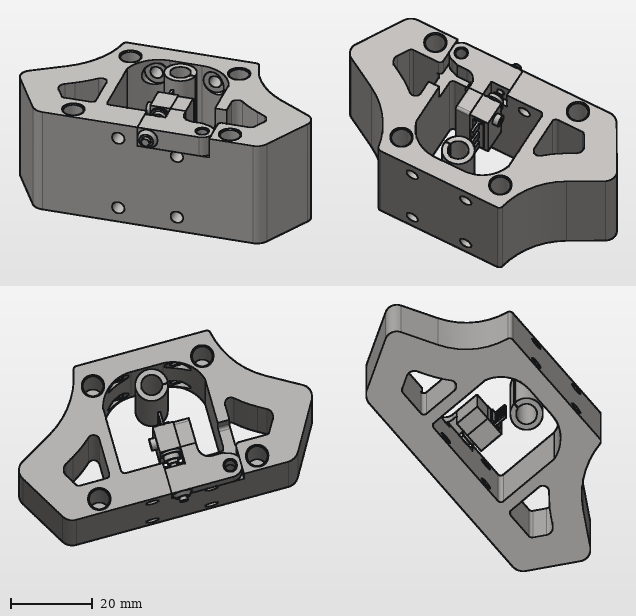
import cadquery as cq
import math

HALF_WIDTH = 37.15
DEPTH = 37.15
HEIGHT = 28.0
SLOPE = math.radians(30)
CORNER_RADIUS = 3.0
CORNER_Y = 15.0
FRONT_CORNER_RADIUS = 3.5
BACK_CORNER_RADIUS = 1.0
FLARE_RADIUS = 20.8
FLARE_END_X = 27.4
FRONT_WALL = 8.0
SHOULDER_WALL = 8.0
CAVITY_HALF_WIDTH = 13.0
CAVITY_BACK_Y = 32.1
CAVITY_BACK_RADIUS = 9.3
CAVITY_BACK_OVERSIZE = 0.4
INNER_RADIUS = 1.0
WINDOW_INNER_X = 16.0
WINDOW_BACK_RADIUS = 1.5
WINDOW_TIP_RADIUS = 2.0

TAP_DIAMETER = 5.0
TAP_DEPTH = 14.85
TAP_CHAMFER = 0.3
TAP_BACK = (13.9, 31.2)
TAP_FRONT = (20.05, 3.5)

CROSS_HOLE_DIAMETER = 3.2
CROSS_HOLE_X = 7.5
CROSS_HOLE_LOW_Z = 4.0
CROSS_HOLE_HIGH_Z = HEIGHT - CROSS_HOLE_LOW_Z
OFFSET_HOLE_Z = 21.5
COUNTERBORE_DIAMETER = 6.0

LEVER_BOTTOM = 22.65
LEVER_BACK_Y = 6.5
RECESS_RIGHT_X = 15.75
RECESS_BACK_Y = 14.05
RECESS_BACK_RADIUS = 1.0
PIVOT_X = 13.1
PIVOT_Y = 3.0
PIVOT_DIAMETER = 2.75
PIVOT_CHAMFER = 0.3
CHAMFER_CONE_ANGLE = 90
PIVOT_HOLE_DEPTH = 7.4
LEVER_SHOULDER_X = 12.2
ARM_LEFT_X = 2.6
LEVER_LEFT_X = -ARM_LEFT_X
ARM_RIGHT_X = 6.55
ARM_FILLET = 3.0

BUTTON_Z = 25.2
SWITCH_FRONT_Y = 10.7
SWITCH_BACK_Y = 17.3
SWITCH_HALF_WIDTH = ARM_LEFT_X
SWITCH_BOTTOM = 14.85
NOSE_STEPS = ((5.1, 10.0), (4.0, 8.6), (2.7, 7.7), (1.7, LEVER_BACK_Y))
TERMINAL_BASE_WIDTH = 3.0
TERMINAL_BASE_THICKNESS = 0.45
TERMINAL_WIDTH = 0.7
TERMINAL_HEIGHT = 2.4
TERMINAL_END_Y = 20.8
TERMINAL_PITCH = 4.4
TERMINAL_COUNT = 3
BLOCK_ROUNDING = 0.75
PEG_DIAMETER = 3.0
PEG_LENGTH = 1.55
PEG_Y = 13.75
PEG_SOCKET_DIAMETER = 1.4
PEG_SOCKET_DEPTH = 1.0

SLEEVE_BASE_DIAMETER = 5.1
SLEEVE_TIP_DIAMETER = 3.4
SLEEVE_LENGTH = 1.0
SLEEVE_BORE = 2.3
PLUNGER_DIAMETER = 2.0
PLUNGER_TIP_Y = -1.9

TUBE_Y = 27.6
TUBE_DIAMETER = 8.0
TUBE_BORE = 5.1
SLIT_Y = 27.0
SLIT_WIDTH = 0.15
LIP_RADIUS = 0.45

SHOULDER_NORMAL = (math.sin(SLOPE), math.cos(SLOPE))
END_NORMAL = (math.cos(SLOPE), -math.sin(SLOPE))


def box(x_range, y_range, z_range):
    """Box from its limits along each axis."""
    (x0, x1), (y0, y1), (z0, z1) = x_range, y_range, z_range
    return cq.Workplane("XY").box(x1 - x0, y1 - y0, z1 - z0, centered=False).translate((x0, y0, z0))


def rod_y(diameter, x, z, y_start, y_end):
    """Cylinder along +Y."""
    rod = cq.Solid.makeCylinder(diameter / 2, y_end - y_start, cq.Vector(x, y_start, z), cq.Vector(0, 1, 0))
    return cq.Workplane(rod)


def fillet_upright(body, radius, points, z):
    """Round the upright edges that pass nearest to the given (x, y) points."""
    for x, y in points:
        edge = cq.selectors.NearestToPointSelector((x, y, z))
        body = body.edges("|Z").edges(edge).fillet(radius)
    return body


def flank_points(inset, y_end=None, x_end=None):
    """Corner, flank start, flank middle and flank end of the +X side, moved inwards by `inset`.

    The concave flank ends either at height y_end or at x_end.
    """
    diagonal_x = SHOULDER_NORMAL[0] + END_NORMAL[0]
    diagonal_y = SHOULDER_NORMAL[1] + END_NORMAL[1]
    outer_x = HALF_WIDTH - CORNER_RADIUS + CORNER_RADIUS * diagonal_x
    outer_y = CORNER_Y + CORNER_RADIUS * diagonal_y
    corner = (outer_x - inset * diagonal_x, outer_y - inset * diagonal_y)
    flank_start_y = outer_y + (outer_x - FLARE_END_X) * math.tan(SLOPE)
    centre_x = FLARE_END_X + FLARE_RADIUS * SHOULDER_NORMAL[0]
    centre_y = flank_start_y + FLARE_RADIUS * SHOULDER_NORMAL[1]
    radius = FLARE_RADIUS + inset

    def on_flank(angle):
        return (centre_x - radius * math.sin(angle), centre_y - radius * math.cos(angle))

    if x_end is None:
        end_angle = math.acos((centre_y - y_end) / radius)
    else:
        end_angle = math.asin((centre_x - x_end) / radius)
    return corner, on_flank(SLOPE), on_flank((SLOPE + end_angle) / 2), on_flank(end_angle)


def below_corner(corner, y):
    """Point on the slanted end line below `corner`, at height y."""
    return (corner[0] - (corner[1] - y) * math.tan(SLOPE), y)


def mirrored(point):
    return (-point[0], point[1])


def make_solid_block():
    corner, start, middle, end = flank_points(0, y_end=DEPTH)
    foot = below_corner(corner, 0)
    block = (
        cq.Workplane("XY")
        .moveTo(*foot)
        .lineTo(*corner)
        .lineTo(*start)
        .threePointArc(middle, end)
        .lineTo(*mirrored(end))
        .threePointArc(mirrored(middle), mirrored(start))
        .lineTo(*mirrored(corner))
        .lineTo(*mirrored(foot))
        .close()
        .extrude(HEIGHT)
    )
    for radius, point in (
        (CORNER_RADIUS, corner),
        (FRONT_CORNER_RADIUS, foot),
        (BACK_CORNER_RADIUS, end),
    ):
        block = fillet_upright(block, radius, (point, mirrored(point)), HEIGHT / 2)
    return block


def make_cavity():
    depth_range = (FRONT_WALL, CAVITY_BACK_Y)
    rounded_half_width = CAVITY_HALF_WIDTH + CAVITY_BACK_OVERSIZE
    rounded = box((-rounded_half_width, rounded_half_width), depth_range, (0, HEIGHT))
    rounded = rounded.edges("|Z and >Y").fillet(CAVITY_BACK_RADIUS)
    straight = box((-CAVITY_HALF_WIDTH, CAVITY_HALF_WIDTH), depth_range, (0, HEIGHT))
    straight = straight.edges("|Z and <Y").fillet(INNER_RADIUS)
    return straight.intersect(rounded)


def make_window():
    corner, start, middle, end = flank_points(SHOULDER_WALL, x_end=WINDOW_INNER_X)
    foot = below_corner(corner, FRONT_WALL)
    inner_foot = (WINDOW_INNER_X, FRONT_WALL)
    window = (
        cq.Workplane("XY")
        .moveTo(*inner_foot)
        .lineTo(*foot)
        .lineTo(*corner)
        .lineTo(*start)
        .threePointArc(middle, end)
        .close()
        .extrude(HEIGHT)
    )
    window = fillet_upright(window, INNER_RADIUS, (inner_foot, foot), HEIGHT / 2)
    window = fillet_upright(window, WINDOW_TIP_RADIUS, (corner,), HEIGHT / 2)
    return fillet_upright(window, WINDOW_BACK_RADIUS, (end,), HEIGHT / 2)


def drill_tapped_holes(body):
    spots = [TAP_BACK, mirrored(TAP_BACK), TAP_FRONT, mirrored(TAP_FRONT)]
    for x, y in spots:
        hole = cq.Workplane("XY", origin=(x, y, HEIGHT)).circle(TAP_DIAMETER / 2).extrude(-TAP_DEPTH)
        mouth = (
            cq.Workplane("XY", origin=(x, y, HEIGHT))
            .circle(TAP_DIAMETER / 2 + TAP_CHAMFER)
            .workplane(offset=-TAP_CHAMFER)
            .circle(TAP_DIAMETER / 2)
            .loft(ruled=True)
        )
        body = body.cut(hole).cut(mouth)
    return body


def drill_cross_holes(body):
    """Holes from front to back, counterbored from inside the cavity into its back wall."""
    middle_y = DEPTH / 2
    for x in (-CROSS_HOLE_X, CROSS_HOLE_X):
        for z in (CROSS_HOLE_LOW_Z, CROSS_HOLE_HIGH_Z):
            offset_hole = x > 0 and z == CROSS_HOLE_HIGH_Z
            front_z = OFFSET_HOLE_Z if offset_hole else z
            body = body.cut(rod_y(CROSS_HOLE_DIAMETER, x, front_z, 0, middle_y))
            body = body.cut(rod_y(CROSS_HOLE_DIAMETER, x, z, middle_y, DEPTH))
            body = body.cut(rod_y(COUNTERBORE_DIAMETER, x, z, middle_y, CAVITY_BACK_Y))
    return body


def cut_lever_recess(body):
    levels = (LEVER_BOTTOM, HEIGHT)
    bay = box((LEVER_LEFT_X, RECESS_RIGHT_X), (0, FRONT_WALL), levels)
    gap_width = (CAVITY_HALF_WIDTH - INNER_RADIUS, WINDOW_INNER_X + INNER_RADIUS)
    wall_gap = box(gap_width, (FRONT_WALL, RECESS_BACK_Y), levels)
    wall_gap = wall_gap.edges("|X and >Y and <Z").fillet(RECESS_BACK_RADIUS)
    body = body.cut(bay).cut(wall_gap)
    body = fillet_upright(body, INNER_RADIUS, ((RECESS_RIGHT_X, FRONT_WALL),), (LEVER_BOTTOM + HEIGHT) / 2)
    pivot_hole = (
        cq.Workplane("XY", origin=(PIVOT_X, PIVOT_Y, LEVER_BOTTOM))
        .circle(PIVOT_DIAMETER / 2)
        .extrude(-PIVOT_HOLE_DEPTH)
    )
    return body.cut(pivot_hole)


def make_housing():
    window = make_window()
    housing = make_solid_block().cut(make_cavity()).cut(window).cut(window.mirror("YZ"))
    housing = drill_tapped_holes(housing)
    housing = drill_cross_holes(housing)
    return cut_lever_recess(housing)


def make_lever():
    end_radius = PIVOT_Y
    run = LEVER_SHOULDER_X - PIVOT_X
    rise = LEVER_BACK_Y - PIVOT_Y
    tangent_angle = math.atan2(rise, run) - math.acos(end_radius / math.hypot(run, rise))
    tangent = (PIVOT_X + end_radius * math.cos(tangent_angle), PIVOT_Y + end_radius * math.sin(tangent_angle))
    lever = (
        cq.Workplane("XY", origin=(0, 0, LEVER_BOTTOM))
        .moveTo(LEVER_LEFT_X, 0)
        .lineTo(PIVOT_X, 0)
        .threePointArc((PIVOT_X + end_radius, PIVOT_Y), tangent)
        .lineTo(LEVER_SHOULDER_X, LEVER_BACK_Y)
        .lineTo(ARM_RIGHT_X, LEVER_BACK_Y)
        .lineTo(ARM_RIGHT_X, SWITCH_FRONT_Y)
        .lineTo(ARM_LEFT_X, SWITCH_FRONT_Y)
        .lineTo(ARM_LEFT_X, LEVER_BACK_Y)
        .lineTo(LEVER_LEFT_X, LEVER_BACK_Y)
        .close()
        .extrude(HEIGHT - LEVER_BOTTOM)
    )
    lever = fillet_upright(lever, ARM_FILLET, ((ARM_RIGHT_X, LEVER_BACK_Y),), (LEVER_BOTTOM + HEIGHT) / 2)
    lever = lever.intersect(box((LEVER_LEFT_X, RECESS_RIGHT_X), (0, SWITCH_FRONT_Y), (LEVER_BOTTOM, HEIGHT)))
    pivot_plane = lever.faces(">Z").workplane(origin=(PIVOT_X, PIVOT_Y, HEIGHT))
    lever = pivot_plane.cskHole(PIVOT_DIAMETER, PIVOT_DIAMETER + 2 * PIVOT_CHAMFER, CHAMFER_CONE_ANGLE)
    return lever.cut(rod_y(PLUNGER_DIAMETER, 0, BUTTON_Z, 0, LEVER_BACK_Y))


def make_switch():
    half_width = SWITCH_HALF_WIDTH
    switch = box((-half_width, half_width), (SWITCH_FRONT_Y, SWITCH_BACK_Y), (SWITCH_BOTTOM, HEIGHT))
    step_back_y = SWITCH_FRONT_Y
    for diameter, step_front_y in NOSE_STEPS:
        switch = switch.union(rod_y(diameter, 0, BUTTON_Z, step_front_y, step_back_y))
        step_back_y = step_front_y
    middle_z = (SWITCH_BOTTOM + HEIGHT) / 2
    base_half_height = ((TERMINAL_COUNT - 1) * TERMINAL_PITCH + TERMINAL_HEIGHT) / 2
    base_half_width = TERMINAL_BASE_WIDTH / 2
    base = box(
        (-base_half_width, base_half_width),
        (SWITCH_BACK_Y, SWITCH_BACK_Y + TERMINAL_BASE_THICKNESS),
        (middle_z - base_half_height, middle_z + base_half_height),
    )
    switch = switch.union(base)
    for index in range(TERMINAL_COUNT):
        bottom_z = middle_z - base_half_height + index * TERMINAL_PITCH
        terminal = box(
            (-TERMINAL_WIDTH / 2, TERMINAL_WIDTH / 2),
            (SWITCH_BACK_Y, TERMINAL_END_Y),
            (bottom_z, bottom_z + TERMINAL_HEIGHT),
        )
        switch = switch.union(terminal)
    return switch


def make_clamp_block():
    clamp = box((ARM_LEFT_X, ARM_RIGHT_X), (SWITCH_FRONT_Y, SWITCH_BACK_Y), (SWITCH_BOTTOM, HEIGHT))
    return clamp.edges("|X and >Y and >Z").fillet(BLOCK_ROUNDING)


def make_peg():
    """Short round peg with a blind socket, standing on the side of the switch."""
    end_x = -SWITCH_HALF_WIDTH - PEG_LENGTH
    return (
        cq.Workplane("YZ", origin=(end_x, PEG_Y, BUTTON_Z))
        .circle(PEG_DIAMETER / 2)
        .extrude(PEG_LENGTH)
        .faces("<X")
        .workplane(origin=(end_x, PEG_Y, BUTTON_Z))
        .hole(PEG_SOCKET_DIAMETER, PEG_SOCKET_DEPTH)
    )


def make_button_sleeve():
    """Conical collar on the front of the lever."""
    return (
        cq.Workplane("XY", origin=(0, 0, BUTTON_Z))
        .moveTo(SLEEVE_BORE / 2, 0)
        .lineTo(SLEEVE_BASE_DIAMETER / 2, 0)
        .lineTo(SLEEVE_TIP_DIAMETER / 2, -SLEEVE_LENGTH)
        .lineTo(SLEEVE_BORE / 2, -SLEEVE_LENGTH)
        .close()
        .revolve(360, (0, 0, 0), (0, 1, 0))
    )


def make_plunger():
    return rod_y(PLUNGER_DIAMETER, 0, BUTTON_Z, PLUNGER_TIP_Y, LEVER_BACK_Y)


def make_tube():
    tube = (
        cq.Workplane("XY", origin=(0, TUBE_Y, 0))
        .circle(TUBE_DIAMETER / 2)
        .circle(TUBE_BORE / 2)
        .extrude(HEIGHT)
    )
    slit = box((0, TUBE_DIAMETER), (SLIT_Y - SLIT_WIDTH / 2, SLIT_Y + SLIT_WIDTH / 2), (0, HEIGHT))
    lip_y = SLIT_Y + SLIT_WIDTH / 2
    lip_corners = ((TUBE_BORE / 2, lip_y), (TUBE_DIAMETER / 2, lip_y))
    return fillet_upright(tube.cut(slit), LIP_RADIUS, lip_corners, HEIGHT / 2)


housing = make_housing()
lever = make_lever()
switch = make_switch()
clamp_block = make_clamp_block()
peg = make_peg()
button_sleeve = make_button_sleeve()
plunger = make_plunger()
tube = make_tube()

result = cq.Compound.makeCompound(
    [
        housing.solids().val(),
        lever.solids().val(),
        switch.solids().val(),
        clamp_block.solids().val(),
        peg.solids().val(),
        button_sleeve.solids().val(),
        plunger.solids().val(),
        tube.solids().val(),
    ]
)